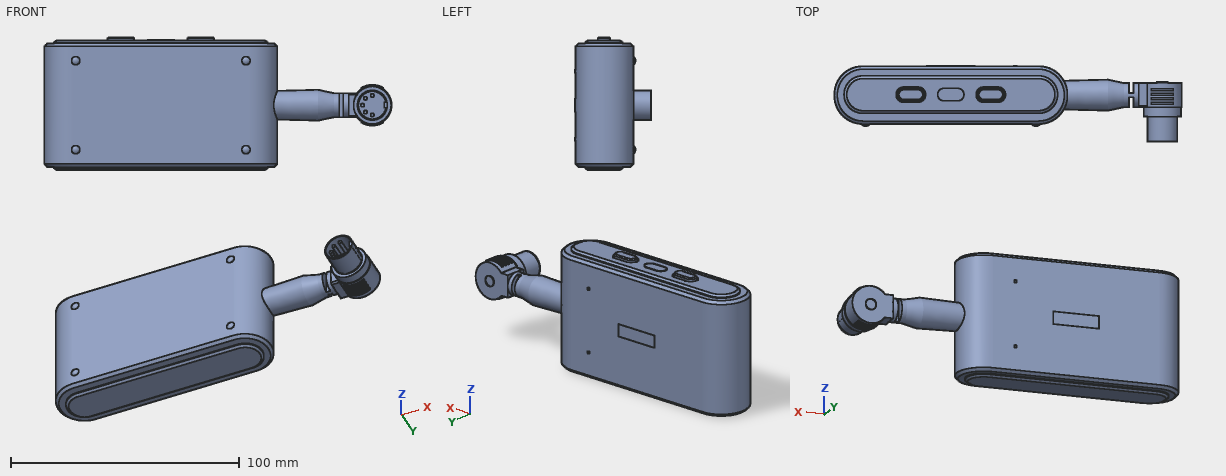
import cadquery as cq
import math

case_length = 102.0
end_radius = 12.5
end_flat = 0.5
case_depth = 2 * end_radius + end_flat
back_y = end_radius
front_y = back_y - case_depth
case_middle_y = (front_y + back_y) / 2
shoulder_height = 51.4
shoulder_bevel = 1.4
panel_inset = 4.3
panel_length = case_length - 2 * panel_inset
panel_width = 2 * (end_radius - panel_inset)
panel_height = 1.4
panel_bevel_height = 0.9
panel_bevel_width = 1.2
face_height = shoulder_height / 2 + shoulder_bevel
panel_top = face_height + panel_height

button_spacing = 17.5
button_length = 11.7
button_width = 5.5
button_height = 1.4
button_bevel = 0.6
button_gap = 0.6
button_gap_depth = 0.8
lamp_length = 11.5
lamp_width = 5.5
lamp_height = 0.3

screw_x = 37.2
screw_z = 19.5
screw_radius = 1.8
screw_height = 0.9

plate_length = 21.1
plate_height = 5.8
back_relief = 0.23
dot_x = 28.1
dot_z = 14.9
dot_radius = 0.6

sleeve_start_x = 45.6
sleeve_start_radius = 6.2
sleeve_bulge_x = 68.7
sleeve_bulge_radius = 6.8
neck_x = 75.7
neck_radius = 5.3
slot_start_x = 78.0
slot_width = 1.8
slot_web = 2.0
block_x = 82.1
block_bevel = 0.8

plug_overhang = 50.0
total_reach_x = case_length / 2 + plug_overhang
head_radius = 8.5
head_half_length = 5.3
head_flat_offset = 6.5
plug_x = total_reach_x - head_radius
collar_radius = 8.2
collar_length = 4.1
barrel_radius = 6.5
barrel_length = 11.0
wall_thickness = 0.5
bore_radius = barrel_radius - wall_thickness
collar_end_y = -head_half_length - collar_length
barrel_end_y = collar_end_y - barrel_length

rib_count = 4
rib_pitch = 2.0
rib_width = 0.9
rib_length = 9.5
rib_height = 0.5
rib_centre_y = -0.6
cap_radius = 2.5
cap_height = 0.5
pin_count = 5
pin_circle_radius = 4.3
pin_radius = 0.8
pin_recess = 1.5
key_width = 2.5
key_depth = 0.9


def stadium(length, width, bottom, height):
    """Upright block with fully rounded ends."""
    return cq.Workplane("XY").workplane(offset=bottom).slot2D(length, width).extrude(height)


def y_cylinder(x, z, radius, start_y, end_y):
    """Cylinder along Y between two Y positions."""
    low_y = min(start_y, end_y)
    plane = cq.Plane(origin=(x, low_y, z), xDir=(1, 0, 0), normal=(0, 1, 0))
    return cq.Workplane(plane).circle(radius).extrude(abs(end_y - start_y))


def make_case():
    body = cq.Workplane("XY").box(case_length, case_depth, 2 * face_height)
    body = body.translate((0, case_middle_y, 0)).edges("|Z").fillet(end_radius)
    body = body.faces("|Z").edges().chamfer(shoulder_bevel)
    panels = stadium(panel_length, panel_width, -panel_top, 2 * panel_top)
    panels = panels.faces("|Z").edges().chamfer(panel_bevel_height, panel_bevel_width)
    return body.union(panels)


def add_controls(body):
    for x in (-button_spacing, button_spacing):
        gap = stadium(
            button_length + 2 * button_gap,
            button_width + 2 * button_gap,
            panel_top - button_gap_depth,
            button_gap_depth,
        )
        button = stadium(
            button_length, button_width, panel_top - button_gap_depth, button_gap_depth + button_height
        )
        button = button.faces(">Z").edges().chamfer(button_bevel)
        body = body.cut(gap.translate((x, 0, 0))).union(button.translate((x, 0, 0)))
    lamp = stadium(lamp_length, lamp_width, panel_top - lamp_height, 2 * lamp_height)
    return body.union(lamp)


def make_screw_head(x, z):
    """Shallow dome standing on the front wall."""
    sphere_radius = (screw_radius ** 2 + screw_height ** 2) / (2 * screw_height)
    ball = cq.Workplane("XY").sphere(sphere_radius)
    ball = ball.translate((x, front_y - screw_height + sphere_radius, z))
    return ball.intersect(y_cylinder(x, z, screw_radius, front_y - screw_height, front_y + screw_height))


def add_wall_details(body):
    for x in (-screw_x, screw_x):
        for z in (-screw_z, screw_z):
            body = body.union(make_screw_head(x, z))
    plate = cq.Workplane("XY").box(plate_length, 2 * back_relief, plate_height)
    body = body.union(plate.translate((0, back_y, 0)))
    for z in (-dot_z, dot_z):
        body = body.union(y_cylinder(dot_x, z, dot_radius, back_y - back_relief, back_y + back_relief))
    return body


def make_sleeve():
    sleeve = (
        cq.Workplane("XY")
        .moveTo(sleeve_start_x, 0)
        .lineTo(sleeve_start_x, sleeve_start_radius)
        .lineTo(sleeve_bulge_x, sleeve_bulge_radius)
        .lineTo(neck_x, neck_radius)
        .lineTo(block_x, neck_radius)
        .lineTo(block_x, 0)
        .close()
        .revolve(360, (0, 0, 0), (1, 0, 0))
    )
    for side in (-1, 1):
        slot = cq.Workplane("XY").box(slot_width, neck_radius, 2 * neck_radius)
        slot_y = side * (slot_web + neck_radius) / 2
        sleeve = sleeve.cut(slot.translate((slot_start_x + slot_width / 2, slot_y, 0)))
    return sleeve


def make_block():
    """Square link between the sleeve and the plug head."""
    length = plug_x - block_x
    block = cq.Workplane("XY").box(length, 2 * head_half_length, 2 * neck_radius)
    block = block.faces("<Y").edges("|X").chamfer(block_bevel)
    return block.translate((block_x + length / 2, 0, 0))


def make_ribs():
    """Grip ribs standing on the upper and lower sides of the head."""
    window = cq.Workplane("XY").box(rib_length, 4 * head_radius, 4 * head_radius)
    window = window.translate((plug_x, 0, 0))
    first_y = rib_centre_y - rib_pitch * (rib_count - 1) / 2
    ribs = cq.Workplane("XY")
    for index in range(rib_count):
        y = first_y + index * rib_pitch
        disc = y_cylinder(plug_x, 0, head_radius + rib_height, y - rib_width / 2, y + rib_width / 2)
        ribs = ribs.add(disc.intersect(window))
    return ribs.combine()


def make_plug():
    head = y_cylinder(plug_x, 0, head_radius, -head_half_length, head_half_length)
    beyond_flat = cq.Workplane("XY").box(head_radius, 4 * head_radius, 4 * head_radius)
    head = head.cut(beyond_flat.translate((plug_x - head_flat_offset - head_radius / 2, 0, 0)))
    head = head.union(make_ribs())
    head = head.union(y_cylinder(plug_x, 0, cap_radius, 0, head_half_length + cap_height))
    collar = y_cylinder(plug_x, 0, collar_radius, -head_half_length, collar_end_y)
    barrel = y_cylinder(plug_x, 0, barrel_radius, collar_end_y, barrel_end_y)
    bore = y_cylinder(plug_x, 0, bore_radius, collar_end_y, barrel_end_y)
    plug = head.union(collar).union(barrel).cut(bore)

    for index in range(pin_count):
        angle = math.pi / 2 + index * math.pi / (pin_count - 1)
        pin_x = plug_x + pin_circle_radius * math.cos(angle)
        pin_z = pin_circle_radius * math.sin(angle)
        plug = plug.union(y_cylinder(pin_x, pin_z, pin_radius, -head_half_length, barrel_end_y + pin_recess))

    key_outer = (barrel_radius + bore_radius) / 2
    key_inner = bore_radius - key_depth
    key = cq.Workplane("XY").box(key_outer - key_inner, barrel_length, key_width)
    key_centre_y = (collar_end_y + barrel_end_y) / 2
    return plug.union(key.translate((plug_x + (key_outer + key_inner) / 2, key_centre_y, 0)))


case = add_wall_details(add_controls(make_case()))
cable = make_sleeve().union(make_block()).union(make_plug())
result = case.union(cable.translate((0, case_middle_y, 0)))